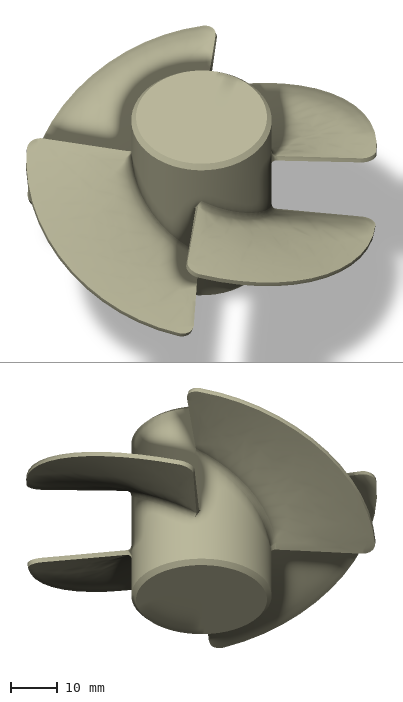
import cadquery as cq
import math

hub_diameter = 30.0
hub_height = 40.0
hub_chamfer = 1.0
hub_seam_angle = 20.0

blade_count = 4
blade_thickness = 1.0
tip_radius = 38.4
tip_tilt = 20.0
tip_half_angle = 48.0
root_height = 16.0
root_embed = 1.15
corner_radius = 3.0
root_fillet = 1.0

hub_radius = hub_diameter / 2
blade_pitch_angle = 360.0 / blade_count
wall_tolerance = 0.01
max_end_edge = 1.5 * blade_thickness


def radius_from_axis(point):
    return math.hypot(point.x, point.y)


def tip_half_height():
    """Highest level of a tip arc, whose middle lies at height zero."""
    tilt = math.radians(tip_tilt)
    return tip_radius * math.sin(math.radians(tip_half_angle)) * math.sin(tilt)


def tip_point(angle):
    """Point on the tip arc around +X; the arc's plane is tilted about X."""
    tilt = math.radians(tip_tilt)
    along = tip_radius * math.cos(math.radians(angle))
    across = tip_radius * math.sin(math.radians(angle))
    return cq.Vector(along, across * math.cos(tilt), -across * math.sin(tilt))


def tip_edge():
    return cq.Edge.makeThreePointArc(
        tip_point(tip_half_angle), tip_point(0), tip_point(-tip_half_angle)
    )


def root_edge():
    """Left-hand helix inside the hub, in line with the blade's rise at the hub wall."""
    radius = hub_radius - root_embed
    slope = (2 * tip_half_height() - root_height) / (tip_radius - hub_radius)
    height = root_height - slope * root_embed
    wire = cq.Wire.makeHelix(height * blade_count, height, radius, lefthand=True)
    wire = wire.translate(cq.Vector(0, 0, -height / 2))
    wire = wire.rotate(cq.Vector(0, 0, 0), cq.Vector(0, 0, 1), blade_pitch_angle / 2)
    return wire.Edges()[0]


def is_tip_corner(edge):
    """Short edge through the plate's thickness at the outer end."""
    return edge.Length() < max_end_edge and radius_from_axis(edge.Center()) > tip_radius - corner_radius


def make_blade():
    """Twisted plate around +X, of even thickness, with rounded tip corners."""
    lower_face = cq.Face.makeRuledSurface(root_edge(), tip_edge())
    plate = cq.Workplane(lower_face.thicken(blade_thickness))
    return plate.edges().filter(is_tip_corner).fillet(corner_radius)


def is_blade_root(edge):
    """Long curve where a blade's upper or lower face meets the hub wall."""
    middle = edge.positionAt(0.5)
    on_wall = abs(radius_from_axis(middle) - hub_radius) < wall_tolerance
    return on_wall and edge.geomType() == "BSPLINE" and edge.Length() > max_end_edge


hub = cq.Workplane("XY").workplane(offset=-hub_height / 2).circle(hub_radius).extrude(hub_height)
hub = hub.edges().chamfer(hub_chamfer).rotate((0, 0, 0), (0, 0, 1), hub_seam_angle)

blade = make_blade()
result = hub
for index in range(blade_count):
    result = result.union(blade.rotate((0, 0, 0), (0, 0, 1), index * blade_pitch_angle))
result = result.edges().filter(is_blade_root).fillet(root_fillet)